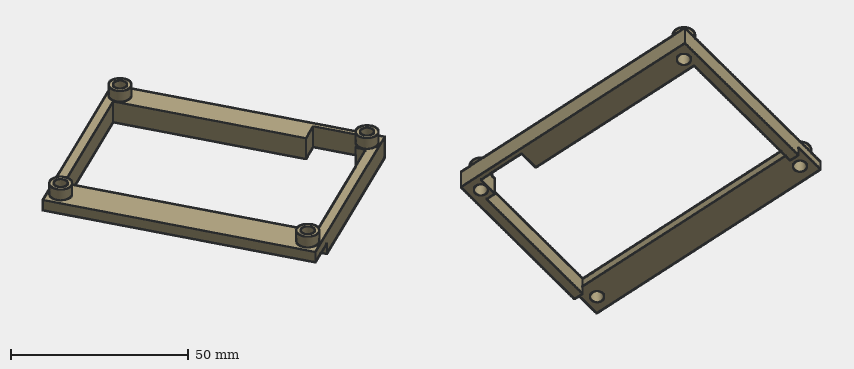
import cadquery as cq

length = 81.3
width = 61.0
total_height = 10.8
frame_height = 7.15
front_bar_height = 3.6

side_wall = 3.0
front_bar = 10.0
rear_bar = 7.9

notch_left = 60.45
notch_right = 75.25
notch_rear_wall = 1.55

boss_diameter = 6.5
hole_diameter = 4.0
boss_inset_x = 3.8
boss_inset_front = 4.55
boss_inset_rear = 4.3
boss_points = [
    (x, y)
    for x in (boss_inset_x, length - boss_inset_x)
    for y in (boss_inset_front, width - boss_inset_rear)
]


def block(x_range, y_range, z_range):
    """Box between the given limits on each axis."""
    (x0, x1), (y0, y1), (z0, z1) = x_range, y_range, z_range
    return cq.Workplane("XY").box(x1 - x0, y1 - y0, z1 - z0, centered=False).translate((x0, y0, z0))


def make_frame():
    """Rectangular frame with a relieved front bar and a notched rear bar."""
    full_height = (0, frame_height)
    window_rear = width - rear_bar
    body = block((0, length), (0, width), full_height)
    window = block((side_wall, length - side_wall), (front_bar, window_rear), full_height)
    notch = block((notch_left, notch_right), (window_rear, width - notch_rear_wall), full_height)
    front_relief = block((0, length), (0, front_bar), (0, frame_height - front_bar_height))
    return body.cut(window).cut(notch).cut(front_relief)


def corner_cylinders(diameter, bottom, top):
    """One upright cylinder at each standoff position."""
    return (
        cq.Workplane("XY")
        .workplane(offset=bottom)
        .pushPoints(boss_points)
        .circle(diameter / 2)
        .extrude(top - bottom)
    )


bosses = corner_cylinders(boss_diameter, frame_height, total_height)
holes = corner_cylinders(hole_diameter, 0, total_height)
result = make_frame().union(bosses).cut(holes)